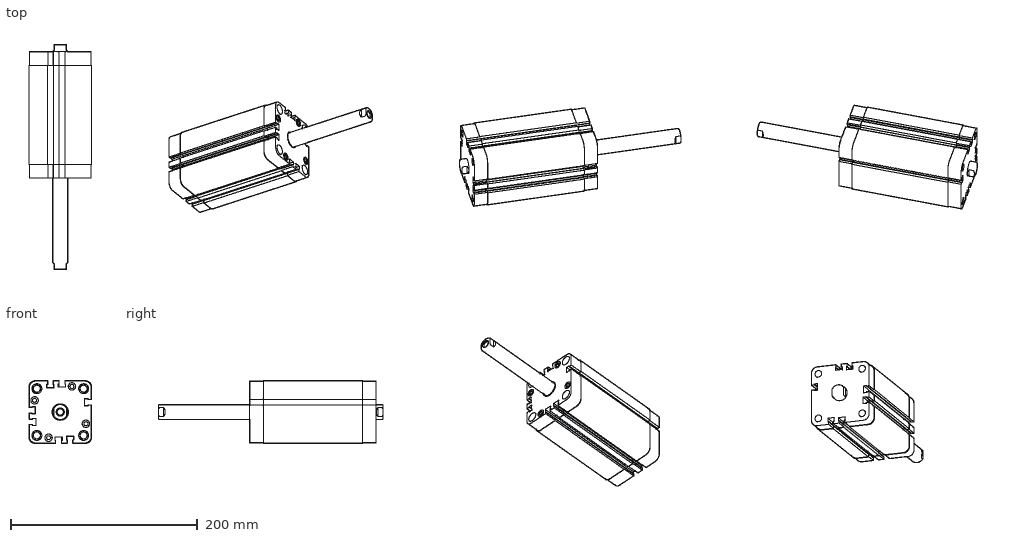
import cadquery as cq
import math

total_length = 240.5
rear_rod_length = 7.5
cap_length = 14.7
barrel_length = 106.0
body_length = barrel_length + 2 * cap_length

rod_front_y = -total_length / 2
rod_rear_y = total_length / 2
body_rear_y = rod_rear_y - rear_rod_length
body_front_y = body_rear_y - body_length
barrel_front_y = body_front_y + cap_length

barrel_width = 67.0
cap_width = 66.1
corner_radius = 6.7

cap_deep_slot = ((-13.2, -7.7), (-14.2, -7.0), 3.8, 7.5)
barrel_deep_slot = ((-13.5, -7.5), (-14.5, -6.7), 3.8, 7.7)
cap_shallow_slot = ((-1.2, 5.0), (-2.2, 5.5), 3.4, 6.7)
barrel_shallow_slot = ((-1.2, 5.0), (-1.5, 5.5), 3.4, 7.0)

mount_spacing = 50.0
mount_diameter = 7.5
mount_bore_diameter = 10.5
mount_bore_depth = 8.5

screw_along_side = 12.5
screw_from_centre = 27.5
screw_diameter = 8.0
screw_recess = 0.5
hex_across_flats = 4.0
hex_depth = 3.0

rod_diameter = 16.0
rod_end_radius = 1.7
rod_clearance_diameter = 17.5
rod_clearance_depth = 1.2
flat_width = 13.0
flat_length = 5.8
rod_hole_diameter = 6.7
rod_hole_mouth_diameter = 8.7
rod_hole_depth = 14.5
drill_tip_angle = 118.0


def section(front_y):
    """XZ sketch plane at front_y whose extrusion runs toward +Y; its own x axis is +X and y axis is +Z."""
    return cq.Workplane(cq.Plane(origin=(0, front_y, 0), xDir=(1, 0, 0), normal=(0, -1, 0)))


def square_block(width, front_y, length):
    block = section(front_y).rect(width, width).extrude(-length)
    return block.edges("|Y").fillet(corner_radius)


def slot_cutter(slot, front_y, length):
    """T-shaped bar that opens through the top face."""
    (neck_left, neck_right), (floor_left, floor_right), neck_depth, full_depth = slot
    face_z = barrel_width / 2
    neck_z = face_z - neck_depth
    floor_z = face_z - full_depth
    outline = [
        (neck_left, face_z),
        (neck_left, neck_z),
        (floor_left, neck_z),
        (floor_left, floor_z),
        (floor_right, floor_z),
        (floor_right, neck_z),
        (neck_right, neck_z),
        (neck_right, face_z),
    ]
    return section(front_y).polyline(outline).close().extrude(-length)


def around_axis(shape, side):
    """Turn a shape from the top side by quarter turns: top, left, bottom, right."""
    return shape.rotate((0, 0, 0), (0, 1, 0), -90 * side)


def screw_cutter():
    """Shallow round recess with a hexagon socket, near the top side."""
    recess = section(body_front_y).center(screw_along_side, screw_from_centre)
    recess = recess.circle(screw_diameter / 2).extrude(-screw_recess)
    hex_across_corners = hex_across_flats / math.cos(math.pi / 6)
    socket = section(body_front_y).center(screw_along_side, screw_from_centre)
    socket = socket.polygon(6, hex_across_corners).extrude(-hex_depth)
    return recess.union(socket)


def slotted_block(width, front_y, length, deep_slot, shallow_slot):
    """Barrel or cap with a deep slot on every side and a shallow one on all but the right side."""
    block = square_block(width, front_y, length)
    deep_cutter = slot_cutter(deep_slot, front_y, length)
    shallow_cutter = slot_cutter(shallow_slot, front_y, length)
    for side in range(4):
        block = block.cut(around_axis(deep_cutter, side))
    for side in range(3):
        block = block.cut(around_axis(shallow_cutter, side))
    return block


def make_body():
    body = slotted_block(barrel_width, barrel_front_y, barrel_length, barrel_deep_slot, barrel_shallow_slot)
    for cap_front_y in (body_front_y, barrel_front_y + barrel_length):
        body = body.union(slotted_block(cap_width, cap_front_y, cap_length, cap_deep_slot, cap_shallow_slot))

    for side in range(4):
        body = body.cut(around_axis(screw_cutter(), side))

    for diameter, depth in ((mount_diameter, body_length), (mount_bore_diameter, mount_bore_depth)):
        holes = section(body_front_y).rect(mount_spacing, mount_spacing, forConstruction=True).vertices()
        body = body.cut(holes.circle(diameter / 2).extrude(-depth))

    clearance = section(body_front_y).circle(rod_clearance_diameter / 2).extrude(-rod_clearance_depth)
    return body.cut(clearance)


def flat_cutter():
    """Wedge-ended bar that cuts one wrench flat on the +X side of the front rod end."""
    flat_x = flat_width / 2
    outer_x = rod_diameter
    shoulder_y = rod_front_y + flat_length
    outline = [
        (flat_x, rod_front_y),
        (flat_x, shoulder_y),
        (outer_x, shoulder_y + outer_x - flat_x),
        (outer_x, rod_front_y),
    ]
    return cq.Workplane("XY").polyline(outline).close().extrude(rod_diameter, both=True)


def rod_hole():
    """Drilled hole with a chamfered mouth and a conical bottom in the front rod end."""
    radius = rod_hole_diameter / 2
    mouth_radius = rod_hole_mouth_diameter / 2
    floor_y = rod_front_y + rod_hole_depth
    tip_y = floor_y + radius / math.tan(math.radians(drill_tip_angle / 2))
    profile = [
        (0, rod_front_y),
        (mouth_radius, rod_front_y),
        (radius, rod_front_y + mouth_radius - radius),
        (radius, floor_y),
        (0, tip_y),
    ]
    return cq.Workplane("XY").polyline(profile).close().revolve(360, (0, 0, 0), (0, 1, 0))


def make_rod():
    rod = section(rod_front_y).circle(rod_diameter / 2).extrude(-total_length)
    rod = rod.faces("<Y or >Y").edges().fillet(rod_end_radius)
    front_flat = flat_cutter()
    rear_flat = front_flat.mirror("XZ")
    for flat in (front_flat, rear_flat):
        rod = rod.cut(flat).cut(flat.mirror("YZ"))
    return rod.cut(rod_hole())


result = make_body().union(make_rod())